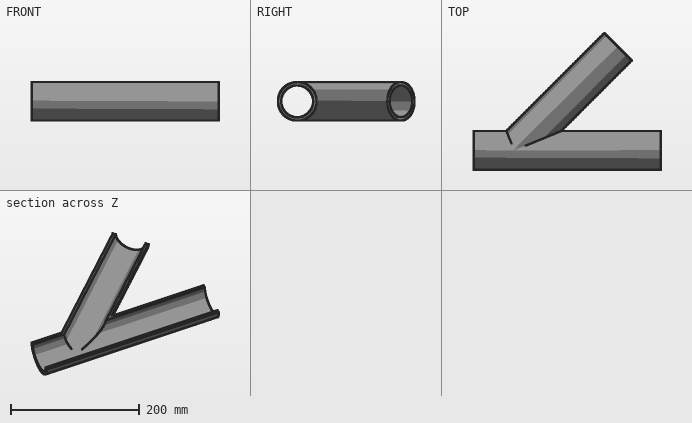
import cadquery as cq
import math

outer_diameter = 60.5
bore_diameter = 49.5

run_length = 292.0
branch_position = 63.7
branch_angle = 45.0
overall_width = 213.2

outer_radius = outer_diameter / 2
slope = math.radians(branch_angle)
branch_rise = overall_width - outer_radius - outer_radius * math.cos(slope)
branch_length = branch_rise / math.sin(slope)


def run_cylinder(diameter):
    """Cylinder along X, with the crossing of the pipe axes at the origin."""
    return cq.Workplane("YZ", origin=(-branch_position, 0, 0)).circle(diameter / 2).extrude(run_length)


def branch_cylinder(diameter):
    """Cylinder rising from the run axis along the sloping branch axis."""
    axis = (math.cos(slope), math.sin(slope), 0)
    plane = cq.Plane(origin=(0, 0, 0), xDir=(0, 0, 1), normal=axis)
    return cq.Workplane(plane).circle(diameter / 2).extrude(branch_length)


body = run_cylinder(outer_diameter).union(branch_cylinder(outer_diameter))
bores = run_cylinder(bore_diameter).union(branch_cylinder(bore_diameter))
result = body.cut(bores)